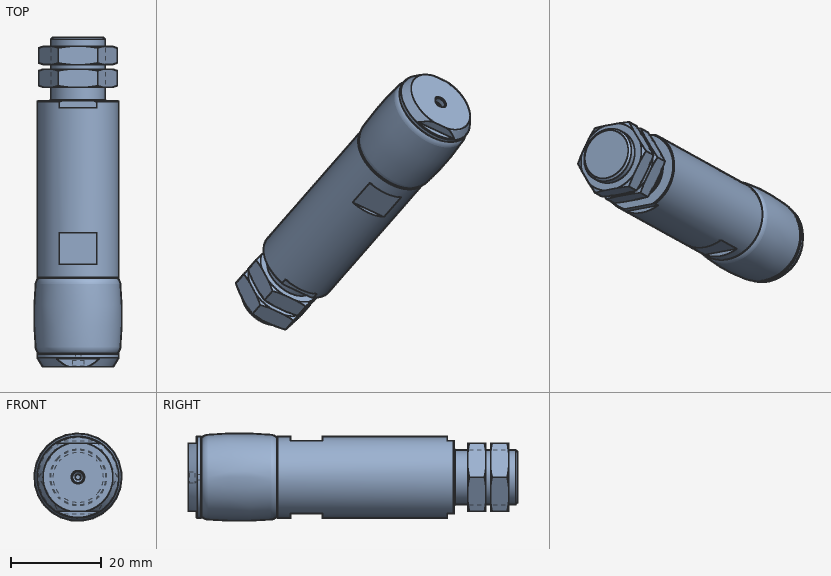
import cadquery as cq
import math

overall_length = 72.5

cap_length = 3.05
cap_nose_length = 2.0
cap_nose_radius = 7.9
cap_face_chamfer = 0.2
cap_flat_width = 15.0
cap_flat_length = 1.8
center_hole_diameter = 1.2
center_hole_depth = 2.9
entry_diameter = 2.5
entry_depth = 1.45
entry_chamfer = 0.2

barrel_diameter = 19.35
barrel_length = 16.45
barrel_rounding_length = 1.2
barrel_shoulder_radius = 9.35
barrel_end_radius = 8.8
barrel_rounding_bulge = 0.11

body_diameter = 18.0
body_edge_chamfer = 0.2
neck_diameter = 12.0
neck_length = 14.0
neck_chamfer = 0.5
neck_root_chamfer = 0.2
wrench_flat_width = 16.0
front_flat_offset = 3.05
front_flat_length = 6.95
rear_flat_length = 1.5

nut_across_flats = 15.0
nut_thickness = 4.0
nut_pitch = 5.0
nut_rear_inset = 2.0
nut_face_diameter = 15.4
nut_chamfer_angle = 20.0

barrel_front = cap_length
body_front = barrel_front + barrel_length
body_rear = overall_length - neck_length
body_radius = body_diameter / 2


def cut_parallel_flats(solid, y_start, length, width_across):
    """Cut two flats, above and below the axis, over a stretch of the axis."""
    height = body_diameter - width_across
    for side in (1, -1):
        cutter = cq.Workplane("XY").box(2 * body_diameter, length, height)
        z_center = side * (width_across + height) / 2
        solid = solid.cut(cutter.translate((0, y_start + length / 2, z_center)))
    return solid


def revolve_about_y(profile):
    """Close a radius-against-Y profile and turn it about the Y axis."""
    return profile.close().revolve(360, (0, 0, 0), (0, 1, 0))


def make_cap():
    profile = (
        cq.Workplane("XY")
        .lineTo(cap_nose_radius - cap_face_chamfer, 0)
        .lineTo(cap_nose_radius, cap_face_chamfer)
        .lineTo(body_radius, cap_nose_length)
        .lineTo(body_radius, cap_length - body_edge_chamfer)
        .lineTo(body_radius - body_edge_chamfer, cap_length)
        .lineTo(0, cap_length)
    )
    cap = cut_parallel_flats(revolve_about_y(profile), 0, cap_flat_length, cap_flat_width)
    hole_radius = center_hole_diameter / 2
    entry_radius = entry_diameter / 2
    cone_depth = entry_radius - hole_radius
    hole_profile = (
        cq.Workplane("XY")
        .lineTo(entry_radius + entry_chamfer, 0)
        .lineTo(entry_radius, entry_chamfer)
        .lineTo(entry_radius, entry_depth)
        .lineTo(hole_radius, entry_depth + cone_depth)
        .lineTo(hole_radius, center_hole_depth)
        .lineTo(0, center_hole_depth)
    )
    return cap.cut(revolve_about_y(hole_profile))


def make_barrel():
    rounding_middle_radius = (barrel_shoulder_radius + barrel_end_radius) / 2 + barrel_rounding_bulge
    front_shoulder = barrel_front + barrel_rounding_length
    rear_shoulder = body_front - barrel_rounding_length
    profile = (
        cq.Workplane("XY")
        .moveTo(0, barrel_front)
        .lineTo(barrel_end_radius, barrel_front)
        .threePointArc(
            (rounding_middle_radius, barrel_front + barrel_rounding_length / 2),
            (barrel_shoulder_radius, front_shoulder),
        )
        .threePointArc(
            (barrel_diameter / 2, barrel_front + barrel_length / 2),
            (barrel_shoulder_radius, rear_shoulder),
        )
        .threePointArc(
            (rounding_middle_radius, body_front - barrel_rounding_length / 2),
            (barrel_end_radius, body_front),
        )
        .lineTo(0, body_front)
    )
    return revolve_about_y(profile)


def make_housing():
    neck_radius = neck_diameter / 2
    profile = (
        cq.Workplane("XY")
        .moveTo(0, body_front)
        .lineTo(body_radius - body_edge_chamfer, body_front)
        .lineTo(body_radius, body_front + body_edge_chamfer)
        .lineTo(body_radius, body_rear - body_edge_chamfer)
        .lineTo(body_radius - body_edge_chamfer, body_rear)
        .lineTo(neck_radius + neck_root_chamfer, body_rear)
        .lineTo(neck_radius, body_rear + neck_root_chamfer)
        .lineTo(neck_radius, overall_length - neck_chamfer)
        .lineTo(neck_radius - neck_chamfer, overall_length)
        .lineTo(0, overall_length)
    )
    housing = revolve_about_y(profile)
    housing = cut_parallel_flats(
        housing, body_front + front_flat_offset, front_flat_length, wrench_flat_width
    )
    return cut_parallel_flats(
        housing, body_rear - rear_flat_length, rear_flat_length, wrench_flat_width
    )


def make_nut(y_front):
    """Hexagon nut with flats facing +Z and -Z and its corners chamfered at both ends."""
    corner_radius = nut_across_flats / 2 / math.cos(math.radians(30))
    face_radius = nut_face_diameter / 2
    chamfer_depth = (corner_radius - face_radius) * math.tan(math.radians(nut_chamfer_angle))
    y_rear = y_front + nut_thickness
    hexagon = (
        cq.Workplane("XZ", origin=(0, y_rear, 0))
        .polygon(6, 2 * corner_radius)
        .circle(neck_diameter / 2)
        .extrude(nut_thickness)
    )
    envelope_profile = (
        cq.Workplane("XY")
        .moveTo(0, y_front)
        .lineTo(face_radius, y_front)
        .lineTo(corner_radius, y_front + chamfer_depth)
        .lineTo(corner_radius, y_rear - chamfer_depth)
        .lineTo(face_radius, y_rear)
        .lineTo(0, y_rear)
    )
    return hexagon.intersect(revolve_about_y(envelope_profile))


cap = make_cap()
barrel = make_barrel()
housing = make_housing()

rear_nut_front = overall_length - nut_rear_inset - nut_thickness
nuts = [make_nut(rear_nut_front - index * nut_pitch) for index in range(2)]

result = cq.Compound.makeCompound(
    [cap.val(), barrel.val(), housing.val(), *[nut.val() for nut in nuts]]
)